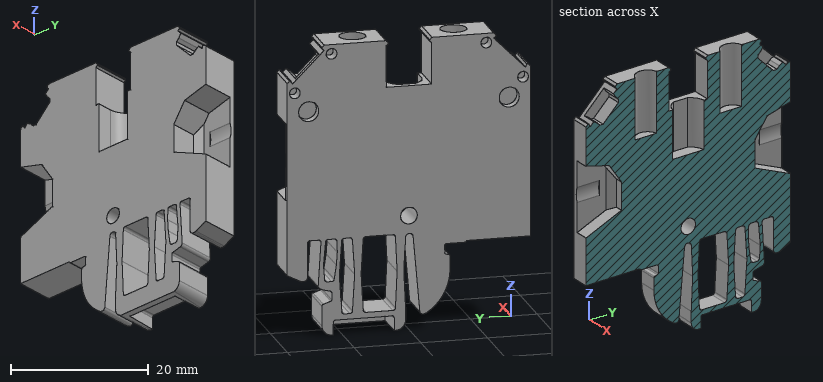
import cadquery as cq
import math

WIDTH = 6.1
LENGTH = 36.5
HEIGHT = 44.0
FLANK = LENGTH / 2
OVERCUT = 1.0

SHOULDER_SUM = 55.92
LIP_BOTTOM = 43.17
LIP_REACH = 0.3
LIP_EDGE_TOP = HEIGHT - 0.35
LIP_EDGE_BOTTOM = 43.45
LIP_CHAMFER = HEIGHT - LIP_EDGE_TOP
SHOULDER_TOP = SHOULDER_SUM - LIP_BOTTOM
NUB_FOOT = 17.45
NUB_INNER_EDGE = (17.68, 38.9)
NUB_OUTER_EDGE = (17.9, 38.93)
FLANK_TOP = 38.58

GAP_HALF = 3.4
GAP_FLOOR = 36.93

CAVITY_TOP = 14.53
UNDERSIDE = 12.82
STEP_Z = 12.58
HOOK_THROAT = -5.38
HOOK_CORNER_RADIUS = 0.2
HOOK_BELLY_TOP = (-6.18, 8.69)
HOOK_BELLY_TIP = (-2.6, 2.3)
STOP_INNER = 15.17
STOP_BOTTOM = 8.42
NOTCH_Y = 11.56
FOOT_OUTER = 13.05
FOOT_INNER = 0.48
FOOT_RADIUS = 1.5
FOOT_DRAFT = 0.08
SLOT_BOTTOM = 3.08
SLOT_WAIST = 8.97
SLOT_RADIUS = 0.4

RECESS_NEAR = 2.2
RECESS_FAR = 11.33
RECESS_TOP = 2.25
RECESS_DEPTH = 5.0
RECESS_RADIUS = 0.35
RECESS_TAPER = 1.4

CROSS_HOLE_DIAMETER = 2.5
CROSS_HOLE_Z = 17.25
SCREW_X = 3.57
SCREW_Y = 7.57
SCREW_DIAMETER = 3.9
SCREW_DEPTH = 10.0
DIMPLE_DIAMETER = 3.0
DIMPLE_Y = 15.03
DIMPLE_Z = 34.1
DIMPLE_DEPTH = 1.4
PIN_HOLES = [(11.6, 42.6), (17.1, 37.02)]
PIN_MOUTH_RADIUS = 0.8
PIN_END_RADIUS = 0.63
PIN_DEPTH = 1.5

BRIDGE_RADIUS = 2.8
BRIDGE_WALL_X = 1.06
BRIDGE_DEPTH = 8.0

MARKER_WALL_X = 0.72
MARKER_MIDDLE = 25.7
MARKER_HALF = 2.48
MARKER_WALL_DEPTH = 0.75
MARKER_INNER_HALF = 2.3
MARKER_INNER_DEPTH = 1.39
MARKER_FLOOR_HALF = 1.92
MARKER_FLOOR_DEPTH = 1.8

FUNNEL_DEPTH = 6.3
FUNNEL_WALL_X = 0.87
FUNNEL_END_X = 1.85
FUNNEL_MOUTH = (20.6, 32.2)
FUNNEL_END = (23.3, 27.9)
FUNNEL_ROOF_BEND = (0.66 * FUNNEL_DEPTH, 31.1)
FUNNEL_WALL_BEND = 0.81 * FUNNEL_DEPTH
WIRE_X = 4.1
WIRE_RADIUS = 3.45
WIRE_Z = 26.7
WIRE_DEPTH = 4.0


def unit(start, end):
    """Unit vector from one point to another."""
    length = math.dist(start, end)
    return ((end[0] - start[0]) / length, (end[1] - start[1]) / length)


def rounded_outline(corners, x=0.0):
    """Closed outline at height x over the YZ plane; corners are (Y, Z) or (Y, Z, radius)."""
    stretches = []
    for i, corner in enumerate(corners):
        point = corner[:2]
        if len(corner) == 2:
            stretches.append([point])
            continue
        radius = corner[2]
        back = unit(point, corners[i - 1][:2])
        ahead = unit(point, corners[(i + 1) % len(corners)][:2])
        half_angle = math.acos(back[0] * ahead[0] + back[1] * ahead[1]) / 2
        trim = radius / math.tan(half_angle)
        bisector = unit((0, 0), (back[0] + ahead[0], back[1] + ahead[1]))
        to_arc = radius / math.sin(half_angle) - radius
        start = (point[0] + trim * back[0], point[1] + trim * back[1])
        middle = (point[0] + to_arc * bisector[0], point[1] + to_arc * bisector[1])
        end = (point[0] + trim * ahead[0], point[1] + trim * ahead[1])
        stretches.append([start, middle, end])

    outline = cq.Workplane("YZ", origin=(x, 0, 0)).moveTo(*stretches[0][-1])
    for stretch in stretches[1:] + stretches[:1]:
        outline = outline.lineTo(*stretch[0])
        if len(stretch) == 3:
            outline = outline.threePointArc(stretch[1], stretch[2])
    return outline.close()


def both_sides(shape):
    """The shape together with its mirror image across Y = 0."""
    return shape.union(shape.mirror("XZ"))


def tower_side():
    """Outline of one tower on the +Y side, from the gap floor out to the flank."""
    gap_lip = GAP_HALF - LIP_REACH
    outer_lip = SHOULDER_TOP + LIP_REACH
    return [
        (GAP_HALF, GAP_FLOOR),
        (GAP_HALF, LIP_BOTTOM),
        (gap_lip, LIP_EDGE_BOTTOM),
        (gap_lip, LIP_EDGE_TOP),
        (gap_lip + LIP_CHAMFER, HEIGHT),
        (outer_lip - LIP_CHAMFER, HEIGHT),
        (outer_lip, LIP_EDGE_TOP),
        (outer_lip, LIP_EDGE_BOTTOM),
        (SHOULDER_TOP, LIP_BOTTOM),
        (NUB_FOOT, SHOULDER_SUM - NUB_FOOT),
        NUB_INNER_EDGE,
        NUB_OUTER_EDGE,
        (FLANK, FLANK_TOP),
    ]


def underside():
    """Outline of the rail foot, from the +Y flank round to the -Y flank."""
    return [
        (FLANK, 9.45),
        (16.2, STOP_BOTTOM, 0.6),
        (STOP_INNER, STOP_BOTTOM, 0.6),
        (STOP_INNER, CAVITY_TOP, 0.35),
        (13.17, CAVITY_TOP, 0.35),
        (13.63, 7.15, 0.5),
        (NOTCH_Y, 6.62, 0.3),
        (NOTCH_Y, 5.2, 0.2),
        (FOOT_OUTER, 4.7, 0.3),
        (FOOT_OUTER, 0, FOOT_RADIUS),
        (FOOT_INNER, 0, FOOT_RADIUS),
        (FOOT_INNER, 3.4),
        (0.74, SLOT_WAIST),
        (FOOT_INNER, CAVITY_TOP, 0.5),
        (-0.58, CAVITY_TOP, 0.5),
        (-1.68, 2.0, 0.5),
        HOOK_BELLY_TIP,
        HOOK_BELLY_TOP,
        (HOOK_BELLY_TOP[0], 10.85, HOOK_CORNER_RADIUS),
        (HOOK_THROAT, 11.07, HOOK_CORNER_RADIUS),
        (HOOK_THROAT, STEP_Z, HOOK_CORNER_RADIUS),
        (-8.44, STEP_Z),
        (-8.67, UNDERSIDE),
        (-FLANK, UNDERSIDE),
    ]


def body():
    tower = tower_side()
    mirrored_tower = [(-y, z) for y, z in reversed(tower)]
    return rounded_outline(mirrored_tower + tower + underside()).extrude(WIDTH)


def hook_bulge():
    """Rounded belly of the hook, outside the chord of its outline and vertical at the top."""
    top = HOOK_BELLY_TOP
    tip = HOOK_BELLY_TIP
    run = tip[0] - top[0]
    drop = top[1] - tip[1]
    radius = (run ** 2 + drop ** 2) / (2 * run)
    half_sweep = math.asin(drop / radius) / 2
    middle = (
        top[0] + radius * (1 - math.cos(half_sweep)),
        top[1] - radius * math.sin(half_sweep),
    )
    return cq.Workplane("YZ").moveTo(*top).threePointArc(middle, tip).close().extrude(WIDTH)


def foot_slots():
    """The three closed slots between the ribs of the foot."""
    short_slot_bottom = 8.12
    short_slot = [
        (12.43, CAVITY_TOP, SLOT_RADIUS),
        (12.79, 10.55),
        (12.62, short_slot_bottom, SLOT_RADIUS),
        (11.25, short_slot_bottom, SLOT_RADIUS),
        (10.88, 10.56),
        (10.74, 12.5),
        (10.8, CAVITY_TOP, SLOT_RADIUS),
    ]
    slots = rounded_outline(short_slot).extrude(WIDTH)
    tall_slots = [(10.03, 10.4, 8.49, 8.14), (6.82, 7.14, 2.04, 1.78)]
    for outer, outer_waist, inner, inner_waist in tall_slots:
        tall_slot = [
            (outer, CAVITY_TOP, SLOT_RADIUS),
            (outer_waist, SLOT_WAIST),
            (outer, SLOT_BOTTOM, SLOT_RADIUS),
            (inner, SLOT_BOTTOM, SLOT_RADIUS),
            (inner_waist, SLOT_WAIST),
            (inner, CAVITY_TOP, SLOT_RADIUS),
        ]
        slots = slots.union(rounded_outline(tall_slot).extrude(WIDTH))
    return slots


def foot_draft():
    """Thin wedge that tilts the foot's bottom face up towards +X."""
    wedge = [(0, 0), (WIDTH, FOOT_DRAFT), (WIDTH, 0)]
    return cq.Workplane("XZ").polyline(wedge).close().extrude(-FOOT_OUTER)


def foot_recess():
    corners = [
        (RECESS_NEAR, -OVERCUT),
        (RECESS_NEAR, RECESS_TOP, RECESS_RADIUS),
        (RECESS_FAR, RECESS_TOP, RECESS_RADIUS),
        (RECESS_FAR, -OVERCUT),
    ]
    return rounded_outline(corners).extrude(RECESS_DEPTH, taper=RECESS_TAPER)


def cross_hole():
    return cq.Workplane("YZ").center(0, CROSS_HOLE_Z).circle(CROSS_HOLE_DIAMETER / 2).extrude(WIDTH)


def screw_holes():
    top = cq.Workplane("XY", origin=(SCREW_X, SCREW_Y, HEIGHT))
    return both_sides(top.circle(SCREW_DIAMETER / 2).extrude(-SCREW_DEPTH))


def side_dimples():
    face = cq.Workplane("YZ").center(DIMPLE_Y, DIMPLE_Z)
    return both_sides(face.circle(DIMPLE_DIAMETER / 2).extrude(DIMPLE_DEPTH))


def pin_holes():
    """Tapered blind holes in the -X face."""
    mouths = cq.Workplane("YZ").pushPoints(PIN_HOLES).circle(PIN_MOUTH_RADIUS)
    taper = math.degrees(math.atan((PIN_MOUTH_RADIUS - PIN_END_RADIUS) / PIN_DEPTH))
    return both_sides(mouths.extrude(PIN_DEPTH, taper=taper))


def bridge_pocket():
    """Round-ended pocket in the gap floor, flat at its -X end and open towards +X."""
    floor = cq.Workplane("XY", origin=(0, 0, GAP_FLOOR))
    round_end = floor.center(SCREW_X, 0).circle(BRIDGE_RADIUS).extrude(-BRIDGE_DEPTH)
    channel_length = WIDTH - SCREW_X
    channel = floor.center(SCREW_X + channel_length / 2, 0)
    channel = channel.rect(channel_length, 2 * BRIDGE_RADIUS).extrude(-BRIDGE_DEPTH)
    kept_length = WIDTH - BRIDGE_WALL_X
    kept = floor.center(BRIDGE_WALL_X + kept_length / 2, 0)
    kept = kept.rect(kept_length, 2 * BRIDGE_RADIUS).extrude(-BRIDGE_DEPTH)
    return round_end.union(channel).intersect(kept)


def marker_pockets():
    """Stepped pockets sunk square into the shoulders, open towards +X."""
    half_profile = [
        (MARKER_HALF, -OVERCUT),
        (MARKER_HALF, 0),
        (MARKER_INNER_HALF, MARKER_WALL_DEPTH),
        (MARKER_INNER_HALF, MARKER_INNER_DEPTH),
        (MARKER_FLOOR_HALF, MARKER_FLOOR_DEPTH),
    ]
    profile = half_profile + [(-along, depth) for along, depth in reversed(half_profile)]
    corners = []
    for along, depth in profile:
        total = SHOULDER_SUM - depth * math.sqrt(2)
        difference = MARKER_MIDDLE + along * math.sqrt(2)
        corners.append(((total - difference) / 2, (total + difference) / 2))
    return both_sides(rounded_outline(corners, MARKER_WALL_X).extrude(WIDTH - MARKER_WALL_X))


def wire_funnels():
    """Narrowing wire entries in the flanks, open towards +X, with a round wire clearance."""
    end = FLANK - FUNNEL_DEPTH
    side_profile = [
        (FLANK, FUNNEL_MOUTH[0]),
        (FLANK, FUNNEL_MOUTH[1]),
        (FLANK - FUNNEL_ROOF_BEND[0], FUNNEL_ROOF_BEND[1]),
        (end, FUNNEL_END[1]),
        (end, FUNNEL_END[0]),
    ]
    plan_profile = [
        (FUNNEL_WALL_X, FLANK),
        (FUNNEL_WALL_X, FLANK - FUNNEL_WALL_BEND),
        (FUNNEL_END_X, end),
        (WIDTH, end),
        (WIDTH, FLANK),
    ]
    side = rounded_outline(side_profile).extrude(WIDTH)
    plan = cq.Workplane("XY").polyline(plan_profile).close().extrude(HEIGHT)
    clearance = cq.Workplane("XZ", origin=(WIRE_X, FLANK, WIRE_Z)).circle(WIRE_RADIUS).extrude(WIRE_DEPTH)
    return both_sides(side.intersect(plan).union(clearance))


result = body().union(hook_bulge())
for cutter in [
    foot_slots(),
    foot_draft(),
    foot_recess(),
    cross_hole(),
    screw_holes(),
    side_dimples(),
    pin_holes(),
    bridge_pocket(),
    marker_pockets(),
    wire_funnels(),
]:
    result = result.cut(cutter)